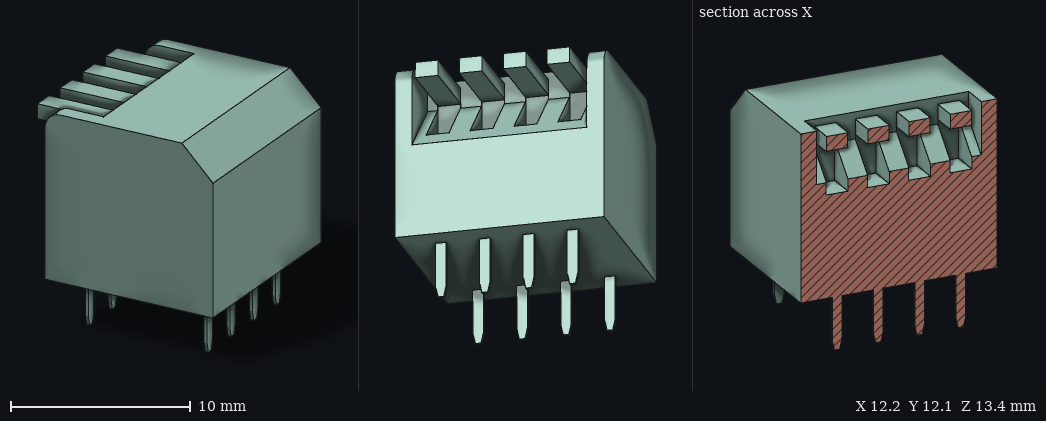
import cadquery as cq

body_length = 10.8
body_width = 12.11
body_height = 10.2
front_radius = 1.0
back_chamfer = 2.0

side_wall = 1.0
recess_length = 3.2
recess_front_depth = 4.78
recess_back_depth = 1.63

lever_count = 4
lever_pitch = 2.54
lever_width = 1.32
lever_height = 0.92
lever_drop = 0.43
lever_overhang = 1.4
slot_floor_depth = 3.95
slot_undercut = 0.1

pin_row_spacing = 7.62
pin_thickness = 0.2
pin_width = 0.62
pin_length = 3.2
pin_tip_width = 0.34
pin_tip_length = 0.6

front_x = -body_length / 2
recess_back_x = front_x + recess_length
recess_width = body_width - 2 * side_wall
slot_length = recess_length + slot_undercut
lever_top_z = body_height - lever_drop
slot_height = slot_floor_depth - lever_drop
lever_ys = [(i - (lever_count - 1) / 2) * lever_pitch for i in range(lever_count)]
pin_xs = [-pin_row_spacing / 2, pin_row_spacing / 2]


def make_housing():
    """Block with a rounded top front edge and a chamfered top back edge."""
    block = cq.Workplane("XY").box(body_length, body_width, body_height, centered=(True, True, False))
    block = block.faces(">Z").edges("<X").fillet(front_radius)
    return block.faces(">Z").edges(">X").chamfer(back_chamfer)


def make_recess():
    """Cutter for the recess, open at the top and front, rising towards the back."""
    profile = [
        (front_x, body_height),
        (front_x, body_height - recess_front_depth),
        (recess_back_x, body_height - recess_back_depth),
        (recess_back_x, body_height),
    ]
    return cq.Workplane("XZ").polyline(profile).close().extrude(recess_width / 2, both=True)


def make_slot(y):
    """Cutter for the flat-bottomed slot around one lever, as high as the lever top."""
    return (
        cq.Workplane("XY")
        .box(slot_length, lever_width, slot_height, centered=(False, True, False))
        .translate((front_x, y, lever_top_z - slot_height))
    )


def make_lever(y):
    """Straight bar from the slot back wall to beyond the housing front."""
    return (
        cq.Workplane("XY")
        .box(slot_length + lever_overhang, lever_width, lever_height, centered=(False, True, False))
        .translate((front_x - lever_overhang, y, lever_top_z - lever_height))
    )


def make_pin(x, y):
    """Flat pin hanging from the housing bottom, tapered in width at its tip."""
    half_width = pin_width / 2
    half_tip = pin_tip_width / 2
    shoulder_z = pin_tip_length - pin_length
    profile = [
        (-half_width, 0),
        (-half_width, shoulder_z),
        (-half_tip, -pin_length),
        (half_tip, -pin_length),
        (half_width, shoulder_z),
        (half_width, 0),
    ]
    pin = cq.Workplane("YZ").polyline(profile).close().extrude(pin_thickness / 2, both=True)
    return pin.translate((x, y, 0))


result = make_housing().cut(make_recess())
for lever_y in lever_ys:
    result = result.cut(make_slot(lever_y)).union(make_lever(lever_y))
    for pin_x in pin_xs:
        result = result.union(make_pin(pin_x, lever_y))